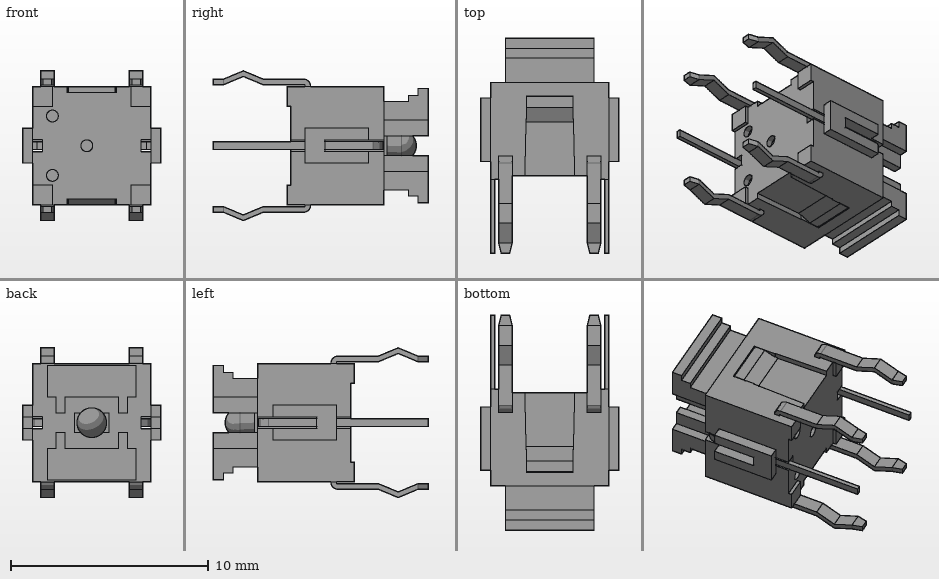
import cadquery as cq


body_side = 6.0
foot_side = 1.0
foot_height = 0.17
body_length = 4.73

plunger_width = 4.5
plunger_length = 2.25
neck_height = 4.5
step_height = 5.11
head_height = 5.8
head_thickness = 0.52
step_thickness = 0.49
notch_height = 2.6
notch_depth = 0.45
sleeve_wall = 0.44
lamp_slot_height = 1.0

lamp_radius = 0.75
lamp_base_width = 1.74
lamp_base_height = 0.15
lamp_barrel_length = 0.74

pin_reach = 3.92

block_thickness = 0.5
block_height = 1.78
block_front = 0.72
block_length = 3.23
groove_width = 0.6
groove_depth = 0.5
block_slot_front = 1.73

pin_height = 0.4
pin_thickness = 0.22
pin_back_gap = 0.05
pin_bend_radius = groove_depth

leg_spacing = 4.49
leg_width = 0.7
leg_thickness = 0.29
leg_outer_z = 3.38
leg_root_back = 1.01
leg_bend_radius = 0.36
leg_embed = 0.22
kink_length = 1.0
kink_peak_spacing = 7.6
kink_rise = kink_peak_spacing / 2 - leg_outer_z
leg_tip_length = 0.52
leg_tip_width = 0.44

latch_depth = 0.3
latch_front_width = 2.53
latch_middle_width = 2.4
latch_back_width = 2.33
latch_step_y = 2.88
latch_ramp_front = 2.74
latch_ramp_back = 3.47
latch_back = 4.05
latch_clearance = 0.02
latch_back_gap = 0.04

hole_diameter = 0.6
hole_depth = 0.3
hole_places = [(-2.0, 1.5), (-2.0, -1.5), (-0.25, 0)]

half_side = body_side / 2


def box(x_range, y_range, z_range):
    """Box between the given pairs of coordinates."""
    size = [high - low for low, high in (x_range, y_range, z_range)]
    corner = (x_range[0], y_range[0], z_range[0])
    return cq.Workplane("XY").box(*size, centered=False).translate(corner)


def centered_box(width, y_range, height):
    """Box centred on the Y axis."""
    return box((-width / 2, width / 2), y_range, (-height / 2, height / 2))


def both_sides(solid, plane):
    """The solid joined with its mirror image."""
    return solid.union(solid.mirror(plane))


def four_corners(solid):
    return both_sides(both_sides(solid, "YZ"), "XY")


def make_housing():
    body = centered_box(body_side, (0, body_length), body_side)
    inner = half_side - foot_side
    foot = box((inner, half_side), (-foot_height, 0), (inner, half_side))
    holes = (
        cq.Workplane("XZ")
        .pushPoints(hole_places)
        .circle(hole_diameter / 2)
        .extrude(-hole_depth)
    )
    return body.union(four_corners(foot)).cut(holes)


def make_latch_recess():
    """Tapered channel in the top face, less the ramped latch nose at its back."""
    floor_z = half_side - latch_depth
    front_half = latch_front_width / 2
    middle_half = latch_middle_width / 2
    back_half = latch_back_width / 2
    channel = (
        cq.Workplane("XY", origin=(0, 0, floor_z))
        .moveTo(-front_half, 0)
        .lineTo(front_half, 0)
        .lineTo(middle_half, latch_step_y)
        .lineTo(back_half, latch_step_y)
        .lineTo(back_half, latch_back)
        .lineTo(-back_half, latch_back)
        .lineTo(-back_half, latch_step_y)
        .lineTo(-middle_half, latch_step_y)
        .close()
        .extrude(latch_depth)
    )
    nose_back = latch_back - latch_back_gap
    nose_z = half_side - latch_clearance
    nose = (
        cq.Workplane("YZ")
        .moveTo(latch_ramp_front, floor_z)
        .lineTo(latch_ramp_back, nose_z)
        .lineTo(nose_back, nose_z)
        .lineTo(nose_back, floor_z)
        .close()
        .extrude(front_half, both=True)
    )
    return channel.cut(nose)


def make_plunger():
    """Stepped plunger, notched along both sides, hollow and slotted across for the lamp."""
    start = body_length
    end = start + plunger_length
    head_front = end - head_thickness
    step_front = head_front - step_thickness
    plunger = (
        centered_box(plunger_width, (start, end), neck_height)
        .union(centered_box(plunger_width, (step_front, end), step_height))
        .union(centered_box(plunger_width, (head_front, end), head_height))
    )
    half_width = plunger_width / 2
    notch = box(
        (half_width - notch_depth, half_width),
        (start, end),
        (-notch_height / 2, notch_height / 2),
    )
    cavity_width = plunger_width - 2 * (notch_depth + sleeve_wall)
    cavity = centered_box(cavity_width, (start, end), notch_height)
    lamp_slot = centered_box(plunger_width, (start, end), lamp_slot_height)
    return plunger.cut(both_sides(notch, "YZ")).cut(cavity).cut(lamp_slot)


def make_lamp():
    """Domed lamp on a square base, standing in the plunger cavity."""
    base_top = body_length + lamp_base_height
    dome_start = base_top + lamp_barrel_length
    base = centered_box(lamp_base_width, (body_length, base_top), lamp_slot_height)
    barrel = cq.Workplane("XZ", origin=(0, body_length, 0)).circle(lamp_radius)
    barrel = barrel.extrude(-(dome_start - body_length))
    dome = cq.Workplane("XY").sphere(lamp_radius).translate((0, dome_start, 0))
    return base.union(barrel).union(dome)


def make_side_block():
    """U-shaped block on the +X side, its slot open towards the plunger."""
    outer_x = half_side + block_thickness
    block_back = block_front + block_length
    block = box(
        (half_side, outer_x),
        (block_front, block_back),
        (-block_height / 2, block_height / 2),
    )
    slot = box(
        (half_side, outer_x),
        (block_slot_front, block_back),
        (-groove_width / 2, groove_width / 2),
    )
    return block.cut(slot)


def make_side_groove():
    """Groove along the whole +X side of the housing."""
    return box(
        (half_side - groove_depth, half_side),
        (0, body_length),
        (-groove_width / 2, groove_width / 2),
    )


def make_straight_pin():
    """Flat pin in the +X groove, its back end turned inwards to the groove floor.

    The turn is rounded outside and sharp inside.
    """
    pin_back = body_length - pin_back_gap
    bend_start = pin_back - pin_bend_radius
    floor_x = half_side - pin_bend_radius
    inner_x = half_side - pin_thickness
    return (
        cq.Workplane("XY")
        .moveTo(half_side, -pin_reach)
        .lineTo(half_side, bend_start)
        .radiusArc((floor_x, pin_back), -pin_bend_radius)
        .lineTo(floor_x, pin_back - pin_thickness)
        .lineTo(inner_x, pin_back - pin_thickness)
        .lineTo(inner_x, -pin_reach)
        .close()
        .extrude(pin_height / 2, both=True)
    )


def make_leg():
    """Leg at +X, +Z: out of the top face, bent forwards, kinked, tapered at the tip."""
    inner_z = leg_outer_z - leg_thickness
    root_z = half_side - leg_embed
    root_front = leg_root_back - leg_thickness
    tip_start = leg_tip_length - pin_reach
    peak_y = tip_start + kink_length
    kink_start = peak_y + kink_length
    profile = (
        cq.Workplane("YZ")
        .moveTo(leg_root_back, root_z)
        .lineTo(leg_root_back, leg_outer_z - leg_bend_radius)
        .radiusArc((leg_root_back - leg_bend_radius, leg_outer_z), -leg_bend_radius)
        .lineTo(kink_start, leg_outer_z)
        .lineTo(peak_y, leg_outer_z + kink_rise)
        .lineTo(tip_start, leg_outer_z)
        .lineTo(-pin_reach, leg_outer_z)
        .lineTo(-pin_reach, inner_z)
        .lineTo(tip_start, inner_z)
        .lineTo(peak_y, inner_z + kink_rise)
        .lineTo(kink_start, inner_z)
        .lineTo(root_front, inner_z)
        .lineTo(root_front, root_z)
        .close()
        .extrude(leg_width / 2, both=True)
    )
    outline = (
        cq.Workplane("XY")
        .moveTo(-leg_width / 2, leg_root_back)
        .lineTo(leg_width / 2, leg_root_back)
        .lineTo(leg_width / 2, tip_start)
        .lineTo(leg_tip_width / 2, -pin_reach)
        .lineTo(-leg_tip_width / 2, -pin_reach)
        .lineTo(-leg_width / 2, tip_start)
        .close()
        .extrude(leg_outer_z + 2 * kink_rise)
    )
    return profile.intersect(outline).translate((leg_spacing / 2, 0, 0))


housing = make_housing()
housing = housing.cut(both_sides(make_side_groove(), "YZ"))
housing = housing.cut(both_sides(make_latch_recess(), "XY"))

result = (
    housing.union(make_plunger())
    .union(make_lamp())
    .union(both_sides(make_side_block(), "YZ"))
    .union(both_sides(make_straight_pin(), "YZ"))
    .union(four_corners(make_leg()))
)